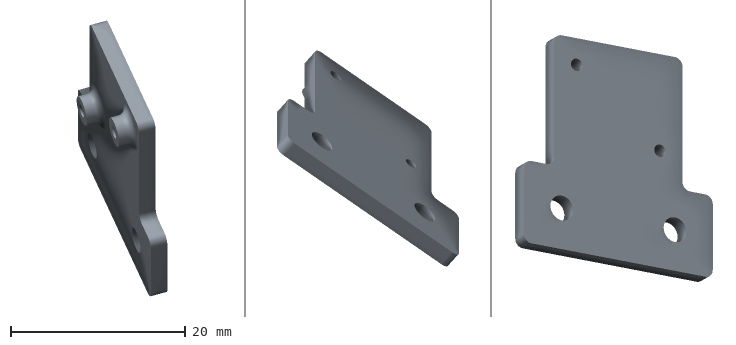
import cadquery as cq

foot_width = 25.0
foot_height = 10.0
panel_width = 17.0
total_height = 26.0
plate_thickness = 2.0
corner_radius = 1.0

mount_hole_diameter = 3.0
mount_hole_spacing = 15.0
mount_hole_height = foot_height / 2

boss_diameter = 3.5
boss_hole_diameter = 1.5
boss_height = 2.0
flare_radius = boss_height / 2
boss_offset = 5.5
boss_centers = [(-boss_offset, 14.25), (boss_offset, 22.75)]


def make_plate():
    """Stepped plate with its front face on Y = 0 and every corner rounded."""
    foot = cq.Workplane("XY").box(
        foot_width, plate_thickness, foot_height, centered=(True, False, False)
    )
    panel = cq.Workplane("XY").box(
        panel_width, plate_thickness, total_height, centered=(True, False, False)
    )
    return foot.union(panel).edges("|Y").fillet(corner_radius)


def make_boss(x, z):
    """Cylinder toward -Y whose base sweeps out into the plate in a concave arc."""
    radius = boss_diameter / 2
    arc_center = radius + flare_radius
    diagonal = flare_radius / 2**0.5
    profile = (
        cq.Workplane("XY")
        .lineTo(arc_center, 0)
        .threePointArc(
            (arc_center - diagonal, -flare_radius + diagonal),
            (radius, -flare_radius),
        )
        .lineTo(radius, -boss_height)
        .lineTo(0, -boss_height)
        .close()
    )
    return profile.revolve(360, (0, 0), (0, 1)).translate((x, 0, z))


def make_hole(x, z, diameter):
    """Cutter along Y through the boss and plate."""
    return (
        cq.Workplane("XZ", origin=(x, plate_thickness, z))
        .circle(diameter / 2)
        .extrude(plate_thickness + boss_height)
    )


result = make_plate()

for x, z in boss_centers:
    result = result.union(make_boss(x, z))
    result = result.cut(make_hole(x, z, boss_hole_diameter))

for side in (-1, 1):
    hole_x = side * mount_hole_spacing / 2
    result = result.cut(make_hole(hole_x, mount_hole_height, mount_hole_diameter))